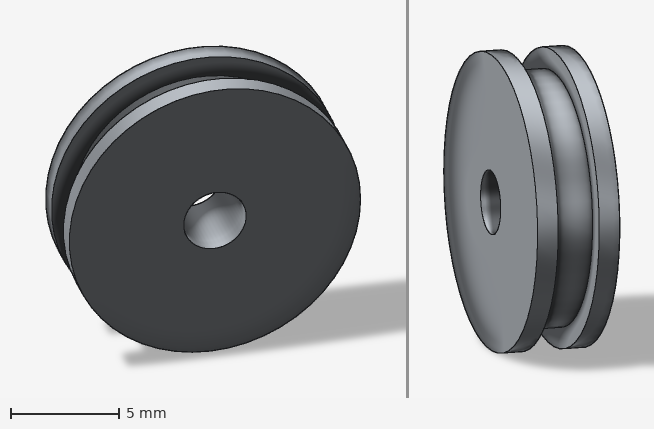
import cadquery as cq

flange_diameter = 14.0
groove_diameter = 12.0
bore_diameter = 3.0
wheel_width = 4.0
flange_width = 1.0
groove_width = wheel_width - 2 * flange_width


def cylinder_along_x(diameter, width):
    """Cylinder on the X axis, centred on the origin."""
    end_plane = cq.Workplane("YZ").workplane(offset=-width / 2)
    return end_plane.circle(diameter / 2).extrude(width)


def groove_ring():
    """Ring of material removed between the two flanges."""
    return cylinder_along_x(flange_diameter, groove_width).cut(
        cylinder_along_x(groove_diameter, groove_width)
    )


wheel = cylinder_along_x(flange_diameter, wheel_width)
wheel = wheel.cut(groove_ring())
result = wheel.cut(cylinder_along_x(bore_diameter, wheel_width))